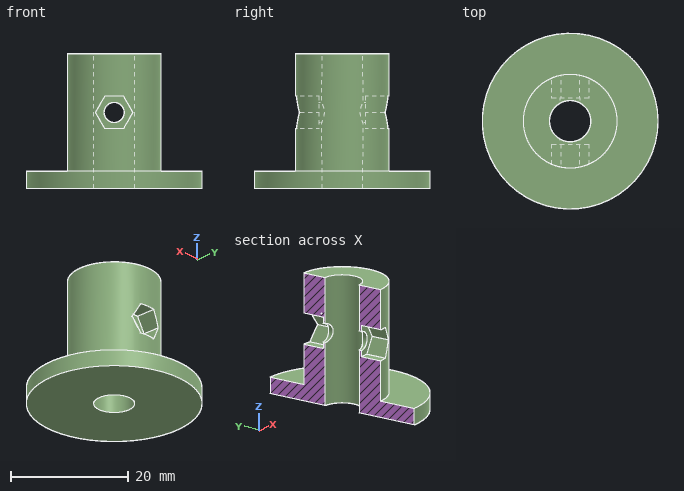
import cadquery as cq

flange_diameter = 30.0
flange_thickness = 3.0
hub_diameter = 16.0
total_height = 23.0
bore_diameter = 7.0

screw_hole_diameter = 3.4
screw_height = 13.0
nut_across_corners = 6.4
nut_floor_offset = 4.0


def make_body():
    """Flange with a coaxial hub and a bore through both."""
    flange = cq.Workplane("XY").circle(flange_diameter / 2).extrude(flange_thickness)
    hub = cq.Workplane("XY").circle(hub_diameter / 2).extrude(total_height)
    bore = cq.Workplane("XY").circle(bore_diameter / 2).extrude(total_height)
    return flange.union(hub).cut(bore)


def make_screw_hole():
    """Cylinder along Y that crosses the whole hub."""
    section = cq.Workplane("XZ", origin=(0, 0, screw_height)).circle(screw_hole_diameter / 2)
    return section.extrude(hub_diameter / 2, both=True)


def make_nut_pocket(side):
    """Hexagonal prism from the pocket floor to the hub surface; side is -1 or 1 along Y."""
    depth = hub_diameter / 2 - nut_floor_offset
    floor_plane = cq.Workplane("XZ", origin=(0, side * nut_floor_offset, screw_height))
    return floor_plane.polygon(6, nut_across_corners).extrude(-side * depth)


result = make_body().cut(make_screw_hole())
for side in (-1, 1):
    result = result.cut(make_nut_pocket(side))